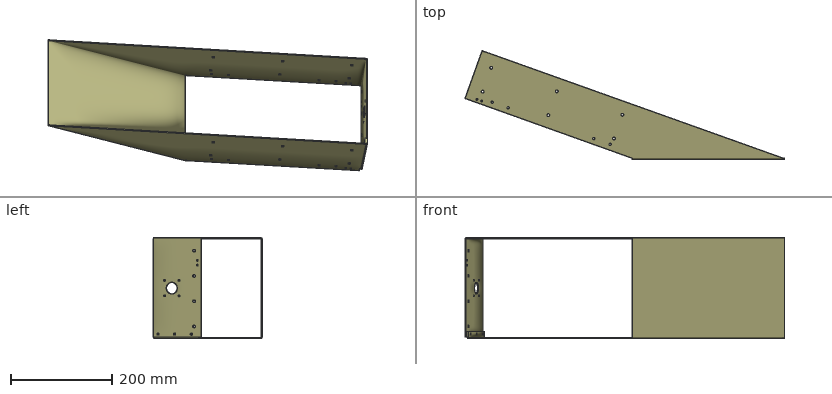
import cadquery as cq
import math

length_x = 630.0
depth_y = 215.0
height = 199.0

sheet = 2.4
bend_outer = 3.0
bend_inner = bend_outer - sheet

arm_angle = 19.7
arm_width = 100.0
front_length = 300.5
tip_setback = 3.0
tab_start = 6.0
tab_height = 14.5

mount_dia = 5.0
screw_dia = 4.0
pin_dia = 3.0
hub_dia = 22.5

mount_rows_u = (28.5, 165.5, 303.0)
mount_rows_v = (24.5, 74.5)
side_screws = [(53.0, 11.5), (86.0, 11.5), (266.0, 11.5), (300.0, 11.5)]
side_pins = [(22.5, 6.0), (33.0, 6.0)]

end_mount_v = 15.0
end_mount_first_z = 24.0
end_mount_pitch = 50.0
end_mount_count = 4
end_pins = [(8.0, 145.0), (8.0, 154.5)]
hub_v, hub_z = 62.0, 99.5
hub_pin_spacing = 30.0
tab_screw_v = (21.0, 56.0, 91.0)
tab_screw_z = 9.0

angle = math.radians(arm_angle)
corner_x = front_length - length_x
corner_y = depth_y - arm_width * math.cos(angle)
along = cq.Vector(math.cos(angle), -math.sin(angle), 0)
across = cq.Vector(math.sin(angle), math.cos(angle), 0)
arm_plane = cq.Plane(origin=(corner_x, corner_y, 0), xDir=along, normal=(0, 0, 1))

end_profile_plane = cq.Plane(origin=(corner_x, corner_y, 0), xDir=along, normal=across * -1)
end_face_plane = cq.Plane(origin=(corner_x, corner_y, 0), xDir=across * -1, normal=along * -1)


def side_plate(bottom_z, arm_start):
    """Flat plate from the arm's end to the bend line of the front panel."""
    arm_end = (corner_y - bend_outer) / math.sin(angle)
    start_x = corner_x + arm_start * along.x
    start_y = corner_y + arm_start * along.y
    outline = [
        (start_x, start_y),
        (corner_x + arm_end * along.x, bend_outer),
        (front_length - tip_setback, bend_outer),
        (start_x + arm_width * across.x, start_y + arm_width * across.y),
    ]
    return cq.Workplane("XY").workplane(offset=bottom_z).polyline(outline).close().extrude(sheet)


def front_panel():
    """Front sheet with both long edges bent back to meet the side plates."""
    outer = (
        cq.Workplane("XY").box(front_length, 2 * bend_outer, height, centered=False)
        .edges("|X").edges("<Y").fillet(bend_outer)
    )
    inner = (
        cq.Workplane("XY")
        .box(front_length, 2 * bend_outer, height - 2 * sheet, centered=False)
        .translate((0, sheet, sheet))
        .edges("|X").edges("<Y").fillet(bend_inner)
    )
    behind_bend = (
        cq.Workplane("XY").box(front_length, bend_outer, height, centered=False)
        .translate((0, bend_outer, 0))
    )
    return outer.cut(inner).cut(behind_bend)


def bent_flange(start_u, free_z, bend_z, inward, start_v):
    """Upright strip bent along the arm at height bend_z; inward is +1 up or -1 down from the bend."""
    bend_center_z = bend_z + inward * bend_outer
    diagonal = math.sqrt(0.5)
    center_u = start_u + bend_outer
    profile = (
        cq.Workplane(end_profile_plane)
        .moveTo(start_u, free_z)
        .lineTo(start_u, bend_center_z)
        .threePointArc(
            (center_u - bend_outer * diagonal, bend_center_z - inward * bend_outer * diagonal),
            (center_u, bend_z),
        )
        .lineTo(center_u, bend_z + inward * sheet)
        .threePointArc(
            (center_u - bend_inner * diagonal, bend_center_z - inward * bend_inner * diagonal),
            (start_u + sheet, bend_center_z),
        )
        .lineTo(start_u + sheet, free_z)
        .close()
    )
    strip = profile.extrude(-(arm_width - start_v))
    return strip.translate(across * start_v)


def side_holes(points, diameter):
    """Holes through both side plates."""
    return cq.Workplane(arm_plane).pushPoints(points).circle(diameter / 2).extrude(height)


def end_holes(points, diameter):
    """Holes through the end panel and the tab behind it."""
    places = [(-v, z) for v, z in points]
    return (
        cq.Workplane(end_face_plane).pushPoints(places).circle(diameter / 2)
        .extrude(-(2 * sheet))
    )


bottom_plate = side_plate(0, sheet + bend_outer)
top_plate = side_plate(height - sheet, bend_outer)
end_panel = bent_flange(0, bend_outer, height, -1, 0)
tab = bent_flange(sheet, tab_height, 0, 1, tab_start)
body = front_panel().union(bottom_plate).union(top_plate).union(end_panel).union(tab)

side_mounts = [(u, v) for u in mount_rows_u for v in mount_rows_v]
body = body.cut(side_holes(side_mounts, mount_dia))
body = body.cut(side_holes(side_screws, screw_dia))
body = body.cut(side_holes(side_pins, pin_dia))

end_mounts = [(end_mount_v, end_mount_first_z + i * end_mount_pitch) for i in range(end_mount_count)]
hub_pins = [
    (hub_v + i * hub_pin_spacing / 2, hub_z + j * hub_pin_spacing / 2)
    for i in (-1, 1)
    for j in (-1, 1)
]
tab_screws = [(v, tab_screw_z) for v in tab_screw_v]
body = body.cut(end_holes(end_mounts, mount_dia))
body = body.cut(end_holes(end_pins + hub_pins, pin_dia))
body = body.cut(end_holes(tab_screws, screw_dia))
body = body.cut(end_holes([(hub_v, hub_z)], hub_dia))

result = body